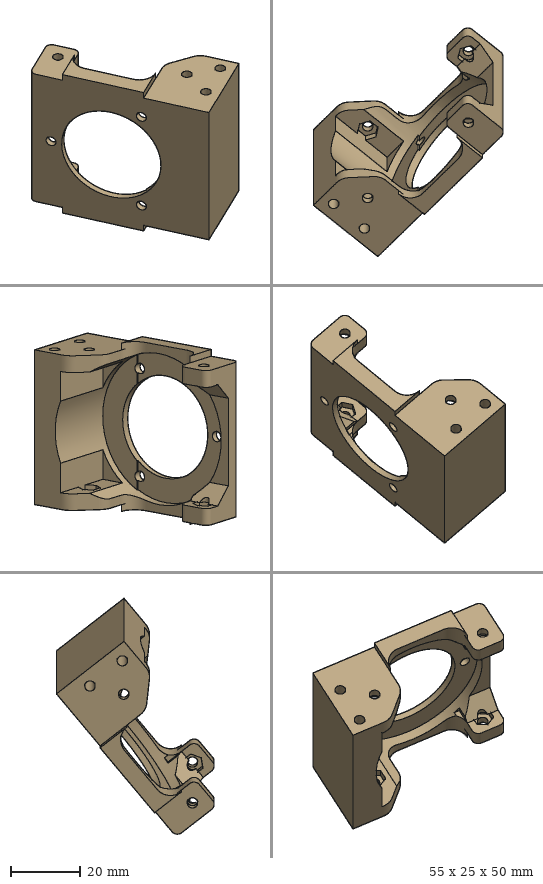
import cadquery as cq
import math

length = 55.0
depth = 25.0
tab_height = 50.0
body_height = 46.0

plate_thickness = 5.0
arm_width = 10.0
arm_depth = 15.0
arm_corner_radius = 2.0
block_width = 20.0
block_chamfer = 8.0
block_corner_radius = 5.0
web_fillet = 5.0

cavity_height = 36.0
cavity_chamfer = 5.0
end_wall = 9.5

bore_diameter = 30.4
clearance_radius = 22.45
seat_thickness = 2.0
block_seat_thickness = 2.5
bolt_circle_radius = 18.5
bolt_angles = (60, 180, 300)

hole_diameter = 3.0
nut_across_flats = 5.5
nut_depth = 2.5
nut_sides = 6
arm_hole = (arm_width / 2, 10.0)
block_inner_hole = (length - end_wall - nut_across_flats / 2, 15.0)
block_outer_x = 50.75
block_outer_offset = 6.0

block_left = length - block_width
bore_x = 25.0


def upright(points, height):
    """Extrude a plan polygon in Z, centred on Z = 0."""
    return cq.Workplane("XY").polyline(points).close().extrude(height / 2, both=True)


def box(x_min, x_max, y_max, height):
    """Box starting on the front face and centred on Z = 0."""
    return upright([(x_min, 0), (x_max, 0), (x_max, y_max), (x_min, y_max)], height)


def make_arm():
    arm = box(0, arm_width, arm_depth, body_height)
    arm = arm.edges("|Z and <X").fillet(arm_corner_radius)
    return arm.edges("|Z and >X and >Y").fillet(arm_corner_radius)


def make_block():
    outline = [
        (block_left, 0),
        (length, 0),
        (length, depth),
        (block_left + block_chamfer, depth),
        (block_left, depth - block_chamfer),
    ]
    chamfer_ends = "|Z and (not >X) and (not <Y)"
    return upright(outline, body_height).edges(chamfer_ends).fillet(block_corner_radius)


def make_web():
    """Plate between arm and block, taller than both, with a concave fillet at each end."""
    fillet_top = plate_thickness + web_fillet
    mid = web_fillet * (1 - math.sqrt(0.5))
    return (
        cq.Workplane("XY")
        .moveTo(arm_width, 0)
        .lineTo(block_left, 0)
        .lineTo(block_left, fillet_top)
        .threePointArc(
            (block_left - mid, plate_thickness + mid),
            (block_left - web_fillet, plate_thickness),
        )
        .lineTo(arm_width + web_fillet, plate_thickness)
        .threePointArc((arm_width + mid, plate_thickness + mid), (arm_width, fillet_top))
        .close()
        .extrude(tab_height / 2, both=True)
    )


def make_arm_cavity():
    """Channel along X through the arm, with chamfered corners against the plate."""
    half = cavity_height / 2
    chamfer_y = plate_thickness + cavity_chamfer
    profile = [
        (plate_thickness, half - cavity_chamfer),
        (chamfer_y, half),
        (depth, half),
        (depth, -half),
        (chamfer_y, -half),
        (plate_thickness, -half + cavity_chamfer),
    ]
    return cq.Workplane("YZ").polyline(profile).close().extrude(arm_width)


def make_block_cavity():
    """Square-cornered channel from the arm up to the end wall."""
    x_max = length - end_wall
    corners = [(arm_width, plate_thickness), (x_max, plate_thickness), (x_max, depth), (arm_width, depth)]
    return upright(corners, cavity_height)


def cylinder_along_y(x, z, radius, y_start, y_end):
    start = cq.Vector(x, y_start, z)
    return cq.Workplane(cq.Solid.makeCylinder(radius, y_end - y_start, start, cq.Vector(0, 1, 0)))


def make_motor_clearance():
    """Wide bore behind the seat; the seat is slightly thicker where it lies in the block."""
    shallow = cylinder_along_y(bore_x, 0, clearance_radius, block_seat_thickness, depth)
    deep = cylinder_along_y(bore_x, 0, clearance_radius, seat_thickness, block_seat_thickness)
    return shallow.union(deep.intersect(box(0, block_left, depth, tab_height)))


def flange_holes(points):
    return (
        cq.Workplane("XY").pushPoints(points).circle(hole_diameter / 2).extrude(tab_height / 2, both=True)
    )


def nut_pockets(points):
    """Hexagonal recesses in the inner faces of both flanges, with two flats facing along X."""
    flat_angle = 180 / nut_sides
    across_corners = nut_across_flats / math.cos(math.radians(flat_angle))
    pocket = cq.Workplane("XY").workplane(offset=cavity_height / 2)
    pocket = pocket.polygon(nut_sides, across_corners).extrude(nut_depth)
    pocket = pocket.rotate((0, 0, 0), (0, 0, 1), flat_angle)
    pockets = cq.Workplane("XY")
    for x, y in points:
        pockets = pockets.union(pocket.translate((x, y, 0)))
    return pockets.union(pockets.mirror("XY"))


result = make_arm().union(make_block()).union(make_web())
result = result.cut(make_arm_cavity()).cut(make_block_cavity())

result = result.cut(cylinder_along_y(bore_x, 0, bore_diameter / 2, 0, plate_thickness))
result = result.cut(make_motor_clearance())
for angle in bolt_angles:
    x = bore_x + bolt_circle_radius * math.cos(math.radians(angle))
    z = bolt_circle_radius * math.sin(math.radians(angle))
    result = result.cut(cylinder_along_y(x, z, hole_diameter / 2, 0, plate_thickness))

nut_holes = [arm_hole, block_inner_hole]
outer_holes = [(block_outer_x, block_inner_hole[1] + side * block_outer_offset) for side in (-1, 1)]
result = result.cut(flange_holes(nut_holes + outer_holes))
result = result.cut(nut_pockets(nut_holes))